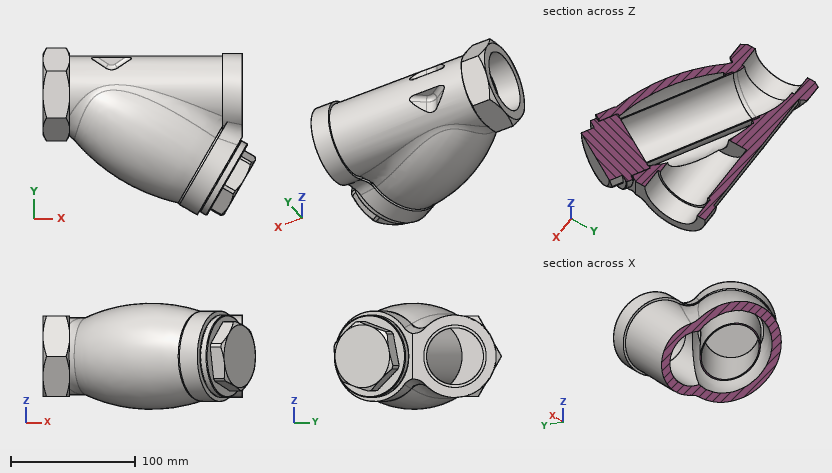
import cadquery as cq
import math


PIPE_LENGTH = 160.4
PIPE_RADIUS = 31.1
BORE_RADIUS = 22.9
THREAD_RADIUS = 25.1
THREAD_DEPTH = 19.0
OUTLET_COLLAR_RADIUS = 33.2
OUTLET_COLLAR_START = 144.3
OUTLET_BORE_START = 85.5

INLET_HEX_FLATS = 65.0
INLET_HEX_LENGTH = 21.5
INLET_HEX_ROUND_RADIUS = 37.6
INLET_HEX_TURN = 30.0
HEX_CHAMFER_ANGLE = 30.0

BRANCH_ANGLE = 30.0
ELBOW_BEND_RADIUS = 38.3
ELBOW_TANGENT_LENGTH = ELBOW_BEND_RADIUS * math.tan(math.radians(BRANCH_ANGLE / 2))
BRANCH_ORIGIN_X = THREAD_DEPTH + ELBOW_TANGENT_LENGTH
BARREL_MAX_RADIUS = 42.7
BARREL_MAX_AT = 66.7
BARREL_ARC_RADIUS = 153.9
BARREL_END = 112.5
COLLAR_START = 114.0
COLLAR_END = 130.6
COLLAR_RADIUS = 36.4
BLEND_RADIUS = 15.4
COLLAR_BLEND_RADIUS = 11.1
COLLAR_OVERRUN = 68.4

WALL = PIPE_RADIUS - BORE_RADIUS
CHAMBER_START = 20.5
COLLAR_BORE_RADIUS = 29.0

SCREEN_START = 13.8
SCREEN_END = 114.5
SCREEN_WALL = 1.4
SCREEN_OUTER_RADIUS = BORE_RADIUS + SCREEN_WALL

GASKET_RADIUS = 32.1
GASKET_THICKNESS = 1.0
FLANGE_START = COLLAR_END + GASKET_THICKNESS
FLANGE_END = 137.5
FLANGE_RADIUS = 33.2
FLANGE_CHAMFER = 0.7
CAP_END = 149.0
CAP_HEX_FLATS = 50.6
CAP_HEX_ROUND_RADIUS = 28.4
CAP_HEX_TURN = 12.0

RECESS_X = 55.2
RECESS_TIP_Y = 18.1
RECESS_MOUTH_Y = 38.6
RECESS_HALF_WIDTH = 30.8
RECESS_FLOOR_Z = 8.5
RECESS_TIP_ROUND = 8.5
RECESS_FLOOR_FILLET = 3.8


def cylinder(start, end, radius):
    """Solid cylinder on the X axis."""
    return cq.Workplane("YZ", origin=(start, 0, 0)).circle(radius).extrude(end - start)


def on_branch(shape):
    """Move a shape built on the X axis onto the branch axis."""
    return shape.rotate((0, 0, 0), (0, 0, 1), -BRANCH_ANGLE).translate((BRANCH_ORIGIN_X, 0, 0))


def hexagon(start, end, across_flats, round_radius, turn, chamfer_start):
    """Hexagon on the X axis with turned corners, chamfered at its end and optionally at its start."""
    prism = (
        cq.Workplane("YZ", origin=(start, 0, 0))
        .polygon(6, across_flats, circumscribed=True)
        .extrude(end - start)
        .rotate((0, 0, 0), (1, 0, 0), turn)
    )
    face_radius = across_flats / 2
    chamfer_length = (round_radius - face_radius) * math.tan(math.radians(HEX_CHAMFER_ANGLE))
    outline = cq.Workplane("XY").moveTo(start, 0)
    if chamfer_start:
        outline = outline.lineTo(start, face_radius).lineTo(start + chamfer_length, round_radius)
    else:
        outline = outline.lineTo(start, round_radius)
    turned = (
        outline.lineTo(end - chamfer_length, round_radius)
        .lineTo(end, face_radius)
        .lineTo(end, 0)
        .close()
        .revolve(360, (0, 0, 0), (1, 0, 0))
    )
    return prism.intersect(turned)


def barrel_radius(along, inset=0.0):
    """Radius of the bulging barrel at a place along the branch, less an inset."""
    centre_radius = BARREL_MAX_RADIUS - BARREL_ARC_RADIUS
    arc_radius = BARREL_ARC_RADIUS - inset
    return centre_radius + math.sqrt(arc_radius**2 - (along - BARREL_MAX_AT) ** 2)


def bulge(start, end, inset=0.0):
    """Barrel-shaped solid of revolution on the X axis."""
    return (
        cq.Workplane("XY")
        .moveTo(start, 0)
        .lineTo(start, barrel_radius(start, inset))
        .threePointArc((BARREL_MAX_AT, BARREL_MAX_RADIUS - inset), (end, barrel_radius(end, inset)))
        .lineTo(end, 0)
        .close()
        .revolve(360, (0, 0, 0), (1, 0, 0))
    )


def branch_neck():
    """Short cone from the barrel up to the branch collar."""
    return (
        cq.Workplane("XY")
        .moveTo(BARREL_END, 0)
        .lineTo(BARREL_END, barrel_radius(BARREL_END))
        .lineTo(COLLAR_START, COLLAR_RADIUS)
        .lineTo(COLLAR_START, 0)
        .close()
        .revolve(360, (0, 0, 0), (1, 0, 0))
    )


def blended(main, branch, radius):
    """Union of two crossing bodies of revolution with their crossing curve filleted."""
    joined = main.union(branch)
    crossing = max(joined.edges("%BSPLINE").vals(), key=lambda edge: edge.Length())
    return joined.newObject([crossing]).fillet(radius)


def joined_collars():
    """Branch collar blended into the outlet collar, cut off at the ends of the branch collar."""
    outlet = cylinder(OUTLET_COLLAR_START - COLLAR_OVERRUN, PIPE_LENGTH + COLLAR_OVERRUN, OUTLET_COLLAR_RADIUS)
    branch = on_branch(cylinder(COLLAR_START - COLLAR_OVERRUN, COLLAR_END + COLLAR_OVERRUN, COLLAR_RADIUS))
    branch_slab = on_branch(cylinder(COLLAR_START, COLLAR_END, 3 * COLLAR_RADIUS))
    pipe_end = cylinder(0, PIPE_LENGTH, 3 * PIPE_LENGTH)
    return blended(outlet, branch, COLLAR_BLEND_RADIUS).intersect(branch_slab).intersect(pipe_end)


def inlet_elbow():
    """Passage that bends from the pipe axis to the branch axis."""
    return (
        cq.Workplane("YZ", origin=(THREAD_DEPTH, 0, 0))
        .circle(BORE_RADIUS)
        .revolve(BRANCH_ANGLE, (-ELBOW_BEND_RADIUS, 1.7, 0), (-ELBOW_BEND_RADIUS, 0, 0))
    )


def recess():
    """Triangular pocket above its floor, open to the back of the pipe."""
    return (
        cq.Workplane("XY", origin=(RECESS_X, 0, RECESS_FLOOR_Z))
        .moveTo(0, RECESS_TIP_Y)
        .lineTo(RECESS_HALF_WIDTH, RECESS_MOUTH_Y)
        .lineTo(-RECESS_HALF_WIDTH, RECESS_MOUTH_Y)
        .close()
        .extrude(PIPE_RADIUS)
        .edges("|Z and <Y")
        .fillet(RECESS_TIP_ROUND)
        .faces("<Z")
        .edges("not >Y")
        .fillet(RECESS_FLOOR_FILLET)
    )


def housing_outside():
    """Solid outer form of the housing."""
    pipe = cylinder(0, PIPE_LENGTH, PIPE_RADIUS)
    barrel = on_branch(bulge(0, BARREL_END))
    inlet_hex = hexagon(0, INLET_HEX_LENGTH, INLET_HEX_FLATS, INLET_HEX_ROUND_RADIUS, INLET_HEX_TURN, True)
    outlet_collar = cylinder(OUTLET_COLLAR_START, PIPE_LENGTH, OUTLET_COLLAR_RADIUS)
    return (
        blended(pipe, barrel, BLEND_RADIUS)
        .union(on_branch(branch_neck()))
        .union(joined_collars())
        .union(outlet_collar)
        .union(inlet_hex)
    )


def housing_passages():
    """Hollow inside of the housing: threaded ends, elbow, screen seat, chamber and outlet bore."""
    inlet_thread = cylinder(0, THREAD_DEPTH, THREAD_RADIUS)
    outlet_thread = cylinder(PIPE_LENGTH - THREAD_DEPTH, PIPE_LENGTH, THREAD_RADIUS)
    outlet_bore = cylinder(OUTLET_BORE_START, PIPE_LENGTH, BORE_RADIUS)
    seat_bore = on_branch(cylinder(ELBOW_TANGENT_LENGTH, SCREEN_START, BORE_RADIUS))
    screen_bore = on_branch(cylinder(SCREEN_START, COLLAR_END, SCREEN_OUTER_RADIUS))
    chamber = on_branch(bulge(CHAMBER_START, SCREEN_END, WALL))
    collar_bore = on_branch(cylinder(SCREEN_END, COLLAR_END, COLLAR_BORE_RADIUS))
    return (
        inlet_thread.union(inlet_elbow())
        .union(seat_bore)
        .union(screen_bore)
        .union(chamber)
        .union(collar_bore)
        .union(outlet_bore)
        .union(outlet_thread)
    )


def make_housing():
    """Housing with its passages and the two recesses in its back."""
    upper_recess = recess()
    return (
        housing_outside()
        .cut(housing_passages())
        .cut(upper_recess)
        .cut(upper_recess.mirror("XY"))
    )


def make_screen():
    """Tube that carries on the bore of the elbow down to the cap."""
    tube = cylinder(SCREEN_START, SCREEN_END, SCREEN_OUTER_RADIUS)
    return on_branch(tube.cut(cylinder(SCREEN_START, SCREEN_END, BORE_RADIUS)))


def make_gasket():
    """Flat ring between the branch collar and the cap flange."""
    disc = cylinder(COLLAR_END, FLANGE_START, GASKET_RADIUS)
    return on_branch(disc.cut(cylinder(COLLAR_END, FLANGE_START, COLLAR_BORE_RADIUS)))


def make_cap():
    """Plug in the branch mouth with a flange and a hexagon head."""
    plug = cylinder(SCREEN_END, FLANGE_START, COLLAR_BORE_RADIUS)
    flange = cylinder(FLANGE_START, FLANGE_END, FLANGE_RADIUS).faces(">X").chamfer(FLANGE_CHAMFER)
    head = hexagon(FLANGE_END, CAP_END, CAP_HEX_FLATS, CAP_HEX_ROUND_RADIUS, CAP_HEX_TURN, False)
    return on_branch(plug.union(flange).union(head))


housing = make_housing()
screen = make_screen()
gasket = make_gasket()
cap = make_cap()

result = cq.Compound.makeCompound(
    [housing.solids().val(), screen.solids().val(), gasket.solids().val(), cap.solids().val()]
)